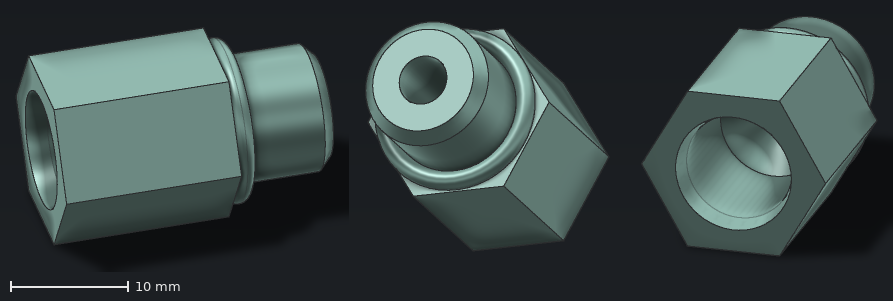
import cadquery as cq
import math

total_length = 24.65
hex_length = 15.5
corner_width = 16.4

stud_diameter = 11.14
stud_chamfer = 1.0
ring_diameter = 14.41
ring_thickness = 1.65

mouth_diameter = 10.32
mouth_taper_length = 1.8
bore_diameter = 9.41
bore_depth = 12.0
passage_diameter = 4.3
cone_angle = 90.0

front_y = -total_length / 2
shoulder_y = front_y + hex_length
end_y = front_y + total_length


def revolve_about_y(profile):
    """Turn a closed (radius, y) profile around the Y axis."""
    return profile.close().revolve(360, (0, 0, 0), (0, 1, 0))


def make_hexagon():
    """Hexagonal body with two corners on the X axis."""
    plane = cq.Workplane("XZ", origin=(0, front_y, 0))
    return plane.polygon(6, corner_width).extrude(-hex_length)


def make_stud():
    """Cylindrical stud with a chamfered free end."""
    plane = cq.Workplane("XZ", origin=(0, shoulder_y, 0))
    stud = plane.circle(stud_diameter / 2).extrude(-(total_length - hex_length))
    return stud.faces(">Y").chamfer(stud_chamfer)


def make_ring():
    """Round-section sealing ring resting against the hexagon shoulder."""
    section_radius = ring_thickness / 2
    center_radius = ring_diameter / 2 - section_radius
    section = cq.Workplane("XY").center(center_radius, shoulder_y + section_radius)
    axis_point = (-center_radius, 0, 0)
    return section.circle(section_radius).revolve(360, axis_point, (-center_radius, 1, 0))


def make_bore():
    """Bore with a tapered mouth and a conical bottom leading into a through passage."""
    mouth_radius = mouth_diameter / 2
    bore_radius = bore_diameter / 2
    passage_radius = passage_diameter / 2
    cone_length = (bore_radius - passage_radius) / math.tan(math.radians(cone_angle / 2))
    bore_bottom_y = front_y + bore_depth
    profile = (
        cq.Workplane("XY")
        .moveTo(0, front_y)
        .lineTo(mouth_radius, front_y)
        .lineTo(bore_radius, front_y + mouth_taper_length)
        .lineTo(bore_radius, bore_bottom_y)
        .lineTo(passage_radius, bore_bottom_y + cone_length)
        .lineTo(passage_radius, end_y)
        .lineTo(0, end_y)
    )
    return revolve_about_y(profile)


result = make_hexagon().union(make_stud()).union(make_ring()).cut(make_bore())